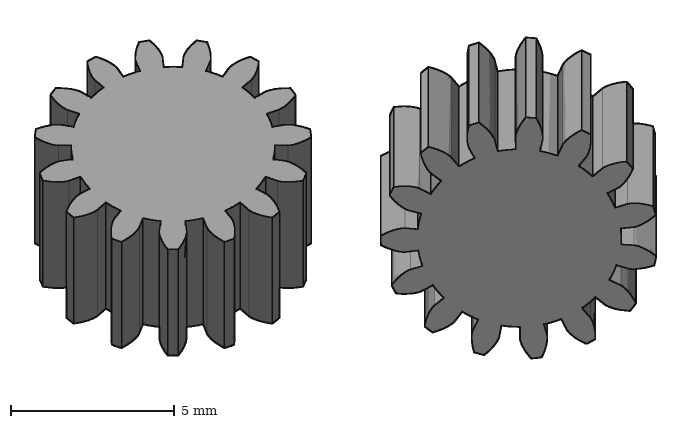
import cadquery as cq
import math

TOOTH_COUNT = 15
TIP_RADIUS = 4.25
FACE_WIDTH = 5.0
PRESSURE_ANGLE = math.radians(20)
ADDENDUM_FACTOR = 1.0
DEDENDUM_FACTOR = 1.25
FLANK_STEPS = 6

MODULE = TIP_RADIUS / (TOOTH_COUNT / 2 + ADDENDUM_FACTOR)
PITCH_RADIUS = MODULE * TOOTH_COUNT / 2
BASE_RADIUS = PITCH_RADIUS * math.cos(PRESSURE_ANGLE)
ROOT_RADIUS = PITCH_RADIUS - DEDENDUM_FACTOR * MODULE

TOOTH_PITCH = 2 * math.pi / TOOTH_COUNT
BASE_HALF_ANGLE = TOOTH_PITCH / 4 + math.tan(PRESSURE_ANGLE) - PRESSURE_ANGLE


def polar(radius, angle):
    return (radius * math.cos(angle), radius * math.sin(angle))


def involute_flank(tooth_angle, side):
    """Flank points from base to tip; side is -1 or 1 across the tooth centreline."""
    tip_roll = math.sqrt((TIP_RADIUS / BASE_RADIUS) ** 2 - 1)
    points = []
    for step in range(FLANK_STEPS + 1):
        roll = tip_roll * step / FLANK_STEPS
        radius = BASE_RADIUS * math.sqrt(1 + roll**2)
        half_angle = BASE_HALF_ANGLE - (roll - math.atan(roll))
        points.append(polar(radius, tooth_angle + side * half_angle))
    return points


def gear_outline():
    """Involute teeth with radial lower flanks, joined by root circle arcs."""
    start = polar(ROOT_RADIUS, -BASE_HALF_ANGLE)
    outline = cq.Workplane("XY").moveTo(*start)
    for index in range(TOOTH_COUNT):
        angle = index * TOOTH_PITCH
        rising = involute_flank(angle, -1)
        falling = involute_flank(angle, 1)[::-1]
        outline = outline.lineTo(*rising[0])
        outline = outline.spline(rising[1:], includeCurrent=True)
        outline = outline.threePointArc(polar(TIP_RADIUS, angle), falling[0])
        outline = outline.spline(falling[1:], includeCurrent=True)
        outline = outline.lineTo(*polar(ROOT_RADIUS, angle + BASE_HALF_ANGLE))
        outline = outline.threePointArc(
            polar(ROOT_RADIUS, angle + TOOTH_PITCH / 2),
            polar(ROOT_RADIUS, angle + TOOTH_PITCH - BASE_HALF_ANGLE),
        )
    return outline.close()


result = gear_outline().extrude(FACE_WIDTH)